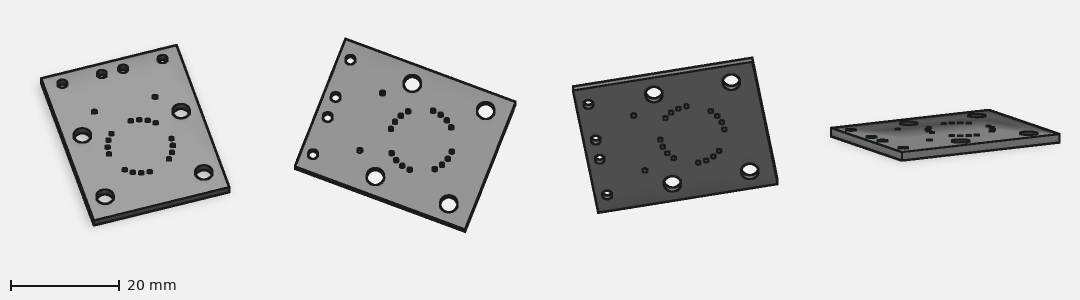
import cadquery as cq

length = 33.5
width = 26.0
thickness = 1.6

mount_diameter = 3.2
mount_left_x = -2.25
mount_right_x = 12.2
mount_y = 9.48

wire_diameter = 1.8
wire_x = -14.47
wire_outer_y = 9.6
wire_inner_y = 2.05

pin_diameter = 0.9
pin_x = -6.7
pin_y = 5.83

ring_diameter = 0.8
ring_center_x = 3.18
ring_radius = 6.0
arc_count = 4
holes_per_arc = 4
hole_step_angle = 15


def drill(plate, diameter, points):
    """Drill through the plate at each point."""
    return plate.faces(">Z").workplane(origin=(0, 0, thickness)).pushPoints(points).hole(diameter)


def drill_arc(plate, start_angle):
    """Drill one arc of ring holes, running clockwise from the start angle."""
    sweep = -hole_step_angle * (holes_per_arc - 1)
    return (
        plate.faces(">Z")
        .workplane(origin=(ring_center_x, 0, thickness))
        .polarArray(ring_radius, start_angle, sweep, holes_per_arc)
        .hole(ring_diameter)
    )


mount_points = [(x, y) for x in (mount_left_x, mount_right_x) for y in (-mount_y, mount_y)]
wire_points = [(wire_x, y) for y in (-wire_outer_y, -wire_inner_y, wire_inner_y, wire_outer_y)]
pin_points = [(pin_x, y) for y in (-pin_y, pin_y)]

plate = cq.Workplane("XY").box(length, width, thickness, centered=(True, True, False))
plate = drill(plate, mount_diameter, mount_points)
plate = drill(plate, wire_diameter, wire_points)
plate = drill(plate, pin_diameter, pin_points)
for arc in range(arc_count):
    plate = drill_arc(plate, arc * 360 / arc_count)

result = plate